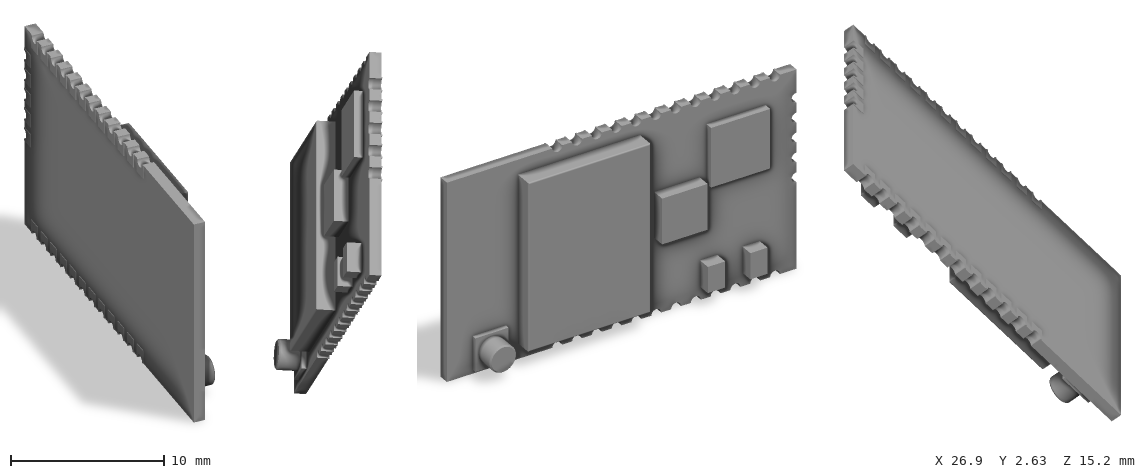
import cadquery as cq

BOARD_LENGTH = 26.92
BOARD_HEIGHT = 15.24
BOARD_THICKNESS = 0.8
OVERALL_DEPTH = 2.63

PAD_PITCH = 1.524
PAD_SIZE = 1.0
PAD_THICKNESS = 0.05
NOTCH_RADIUS = 0.381
LONG_EDGE_PADS = 12
FIRST_LONG_PAD_X = 1.651
SHORT_EDGE_PADS = 5
FIRST_SHORT_PAD_DROP = 2.159

CAN_LENGTH = 9.4
CAN_HEIGHT = 12.9
CAN_DEPTH = 1.3
CAN_LEFT = 12.05
CAN_BOTTOM = 1.2
CAN_EDGE_RADIUS = 0.1

THIN_CHIP_SIZE = 4.55
THIN_CHIP_DEPTH = 0.58
THIN_CHIP_LEFT = 2.39
THIN_CHIP_BOTTOM = 8.74

THICK_CHIP_DEPTH = 0.98
SQUARE_CHIP_SIZE = 3.5
SQUARE_CHIP_LEFT = 7.46
SQUARE_CHIP_BOTTOM = 5.89
SMALL_CHIP_LENGTH = 1.33
SMALL_CHIP_HEIGHT = 2.0
SMALL_CHIP_LEFTS = (2.84, 6.11)
SMALL_CHIP_BOTTOM = 1.03

CONNECTOR_X = 23.67
CONNECTOR_Z = 1.6
CONNECTOR_BASE_SIZE = 2.56
CONNECTOR_BASE_DEPTH = 0.35
BARREL_RADIUS = 1.02
BARREL_CHAMFER = 0.1
CONNECTOR_DEPTH = OVERALL_DEPTH - PAD_THICKNESS - BOARD_THICKNESS


def block(left, front, bottom, length, depth, height):
    """Box given by its lowest-coordinate corner and its X, Y and Z sizes."""
    return cq.Workplane("XY").box(length, depth, height, centered=False).translate((left, front, bottom))


def component(left, bottom, length, height, depth):
    """Box standing on the component side of the board."""
    return block(left, BOARD_THICKNESS, bottom, length, depth, height)


def cylinder(x, front, z, radius, depth):
    """Cylinder along +Y starting at the plane Y = front."""
    solid = cq.Solid.makeCylinder(radius, depth, cq.Vector(x, front, z), cq.Vector(0, 1, 0))
    return cq.Workplane(solid)


def pad_centers():
    """Points on the board edges, each with the inward direction in X and Z."""
    centers = []
    for i in range(LONG_EDGE_PADS):
        x = FIRST_LONG_PAD_X + i * PAD_PITCH
        centers.append((x, 0, 0, 1))
        centers.append((x, BOARD_HEIGHT, 0, -1))
    for i in range(SHORT_EDGE_PADS):
        z = BOARD_HEIGHT - FIRST_SHORT_PAD_DROP - i * PAD_PITCH
        centers.append((0, z, 1, 0))
    return centers


def castellated_board():
    board = block(0, 0, 0, BOARD_LENGTH, BOARD_THICKNESS, BOARD_HEIGHT)
    half_pad = PAD_SIZE / 2
    for x, z, inward_x, inward_z in pad_centers():
        left = x + (inward_x - 1) * half_pad
        bottom = z + (inward_z - 1) * half_pad
        board = board.union(block(left, -PAD_THICKNESS, bottom, PAD_SIZE, PAD_THICKNESS, PAD_SIZE))
    notch_depth = PAD_THICKNESS + BOARD_THICKNESS
    for x, z, _, _ in pad_centers():
        board = board.cut(cylinder(x, -PAD_THICKNESS, z, NOTCH_RADIUS, notch_depth))
    return board


def shield_can():
    can = component(CAN_LEFT, CAN_BOTTOM, CAN_LENGTH, CAN_HEIGHT, CAN_DEPTH)
    return can.faces(">Y").edges().fillet(CAN_EDGE_RADIUS)


def connector():
    half_base = CONNECTOR_BASE_SIZE / 2
    base = component(
        CONNECTOR_X - half_base,
        CONNECTOR_Z - half_base,
        CONNECTOR_BASE_SIZE,
        CONNECTOR_BASE_SIZE,
        CONNECTOR_BASE_DEPTH,
    )
    barrel = cylinder(CONNECTOR_X, BOARD_THICKNESS, CONNECTOR_Z, BARREL_RADIUS, CONNECTOR_DEPTH)
    return base.union(barrel.faces(">Y").chamfer(BARREL_CHAMFER))


def chips():
    thin_chip = component(
        THIN_CHIP_LEFT, THIN_CHIP_BOTTOM, THIN_CHIP_SIZE, THIN_CHIP_SIZE, THIN_CHIP_DEPTH
    )
    square_chip = component(
        SQUARE_CHIP_LEFT, SQUARE_CHIP_BOTTOM, SQUARE_CHIP_SIZE, SQUARE_CHIP_SIZE, THICK_CHIP_DEPTH
    )
    small_chips = [
        component(left, SMALL_CHIP_BOTTOM, SMALL_CHIP_LENGTH, SMALL_CHIP_HEIGHT, THICK_CHIP_DEPTH)
        for left in SMALL_CHIP_LEFTS
    ]
    return [thin_chip, square_chip, *small_chips]


result = castellated_board().union(shield_can()).union(connector())
for chip in chips():
    result = result.union(chip)